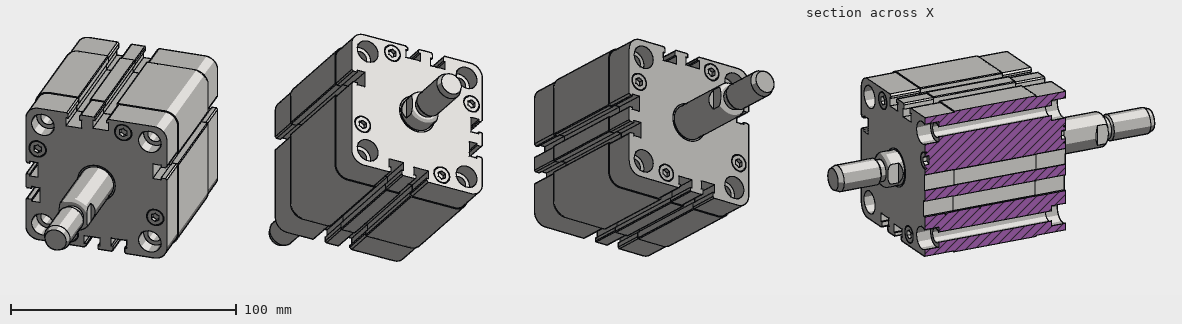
import cadquery as cq
import math

TUBE_SIZE = 67.0
CAP_SIZE = 66.0
CORNER_CENTRE = 27.0
TUBE_LENGTH = 41.0
CAP_LENGTH = 14.75
BODY_LENGTH = TUBE_LENGTH + 2 * CAP_LENGTH
TUBE_FRONT = -TUBE_LENGTH / 2
BODY_FRONT = -BODY_LENGTH / 2
BODY_BACK = BODY_LENGTH / 2

MOUTH_WIDTH = 5.2
CHANNEL_WIDTH = 7.1
DEEP_SLOT_OFFSET = -10.5
DEEP_SLOT_FLOOR = 26.5
DEEP_SLOT_SHOULDER = 30.3
SHALLOW_SLOT_OFFSET = 2.0
SHALLOW_SLOT_FLOOR = 27.4
SHALLOW_SLOT_SHOULDER = 31.2
CAP_SLOT_CLEARANCE = 0.1
TUBE_LIP_CHAMFER = 0.4
CAP_LIP_CHAMFER = 0.65
SHALLOW_CAP_LIP_CHAMFERS = (0.4, 0.9)
DEEP_SLOT_TURNS = (0, 90, 180, 270)
SHALLOW_SLOT_TURNS = (0, 90, 180)

MOUNT_SPACING = 50.0
MOUNT_HOLE_DIA = 6.65
COUNTERBORE_DIA = 10.5
COUNTERBORE_DEPTH = 7.0

SCREW_ACROSS = 12.5
SCREW_OUT = 27.5
SCREW_POCKET_DIA = 8.0
SCREW_HEAD_DIA = 7.5
SCREW_GAP_DEPTH = 1.0
SOCKET_ACROSS_FLATS = 3.5
SOCKET_DEPTH = 2.0

ROD_DIA = 16.0
ROD_BORE_DIA = 17.6
ROD_GAP_DEPTH = 0.2
FRONT_SHOULDER_REACH = 32.5
BACK_SHOULDER_REACH = 7.5
SHOULDER_RADIUS = 2.0
FLAT_WIDTH = 13.0
FLAT_LENGTH = 5.5
STUD_DIA = 12.0
STUD_LENGTH = 24.0
NECK_DIA = 10.0
NECK_LENGTH = 2.4
STUD_ROOT_CHAMFER = 0.8
TIP_DIA = 10.0
TIP_LENGTH = 2.5


def section_at(y):
    """Sketch plane across the body at y: local x along X, local y along Z; negative extrusion runs to +Y."""
    return cq.Workplane(cq.Plane(origin=(0, y, 0), xDir=(1, 0, 0), normal=(0, -1, 0)))


def square_block(size, y_start, length):
    block = section_at(y_start).rect(size, size).extrude(-length)
    return block.edges("|Y").fillet(size / 2 - CORNER_CENTRE)


def slot_cutter(offset, floor, shoulder, face, lip_chamfers, clearance, y_start, length):
    """Slot opening upward through face; lip_chamfers holds the left and right sizes."""
    mouth = MOUTH_WIDTH / 2 + clearance
    channel = CHANNEL_WIDTH / 2 + clearance
    left, right = lip_chamfers
    outline = [
        (-channel, floor - clearance),
        (channel, floor - clearance),
        (channel, shoulder),
        (mouth, shoulder),
        (mouth, face - right),
        (mouth + right, face),
        (-mouth - left, face),
        (-mouth, face - left),
        (-mouth, shoulder),
        (-channel, shoulder),
    ]
    return section_at(y_start).center(offset, 0).polyline(outline).close().extrude(-length)


def slotted_block(size, deep_chamfers, shallow_chamfers, clearance, y_start, length):
    block = square_block(size, y_start, length)
    face = size / 2
    deep = slot_cutter(DEEP_SLOT_OFFSET, DEEP_SLOT_FLOOR, DEEP_SLOT_SHOULDER, face,
                       deep_chamfers, clearance, y_start, length)
    shallow = slot_cutter(SHALLOW_SLOT_OFFSET, SHALLOW_SLOT_FLOOR, SHALLOW_SLOT_SHOULDER, face,
                          shallow_chamfers, clearance, y_start, length)
    for cutter, turns in ((deep, DEEP_SLOT_TURNS), (shallow, SHALLOW_SLOT_TURNS)):
        for turn in turns:
            block = block.cut(cutter.rotate((0, 0, 0), (0, -1, 0), turn))
    return block


def make_cap(y_start):
    deep_chamfers = (CAP_LIP_CHAMFER, CAP_LIP_CHAMFER)
    return slotted_block(CAP_SIZE, deep_chamfers, SHALLOW_CAP_LIP_CHAMFERS,
                         CAP_SLOT_CLEARANCE, y_start, CAP_LENGTH)


def make_body():
    tube_chamfers = (TUBE_LIP_CHAMFER, TUBE_LIP_CHAMFER)
    tube = slotted_block(TUBE_SIZE, tube_chamfers, tube_chamfers, 0, TUBE_FRONT, TUBE_LENGTH)
    return tube.union(make_cap(BODY_FRONT)).union(make_cap(TUBE_FRONT + TUBE_LENGTH))


def cut_mounting_holes(body):
    holes = section_at(BODY_FRONT).rect(MOUNT_SPACING, MOUNT_SPACING, forConstruction=True).vertices()
    body = body.cut(holes.circle(MOUNT_HOLE_DIA / 2).extrude(-BODY_LENGTH))
    for y_start in (BODY_FRONT, BODY_BACK - COUNTERBORE_DEPTH):
        corners = section_at(y_start).rect(MOUNT_SPACING, MOUNT_SPACING, forConstruction=True).vertices()
        body = body.cut(corners.circle(COUNTERBORE_DIA / 2).extrude(-COUNTERBORE_DEPTH))
    return body


def cut_screws(body):
    places = [
        (SCREW_ACROSS, SCREW_OUT),
        (-SCREW_OUT, SCREW_ACROSS),
        (-SCREW_ACROSS, -SCREW_OUT),
        (SCREW_OUT, -SCREW_ACROSS),
    ]
    socket_corner_dia = SOCKET_ACROSS_FLATS / math.cos(math.pi / 6)
    for gap_y, socket_y in ((BODY_FRONT, BODY_FRONT),
                            (BODY_BACK - SCREW_GAP_DEPTH, BODY_BACK - SOCKET_DEPTH)):
        for x, z in places:
            gap = section_at(gap_y).center(x, z).circle(SCREW_POCKET_DIA / 2)
            gap = gap.circle(SCREW_HEAD_DIA / 2).extrude(-SCREW_GAP_DEPTH)
            socket = section_at(socket_y).polygon(6, socket_corner_dia).extrude(-SOCKET_DEPTH)
            socket = socket.rotate((0, 0, 0), (0, 1, 0), 90).translate((x, 0, z))
            body = body.cut(gap).cut(socket)
    return body


def cut_rod_gap(body):
    for y_start in (BODY_FRONT, BODY_BACK - ROD_GAP_DEPTH):
        gap = section_at(y_start).circle(ROD_BORE_DIA / 2).circle(ROD_DIA / 2).extrude(-ROD_GAP_DEPTH)
        body = body.cut(gap)
    return body


def make_rod_end(reach):
    """Half of the rod, from the origin to its tip along +Y; reach is where the shoulder ends."""
    stud_root = reach + NECK_LENGTH
    tip = reach + STUD_LENGTH
    arc_inset = SHOULDER_RADIUS * (1 - math.sqrt(0.5))
    profile = (
        cq.Workplane("XY")
        .lineTo(ROD_DIA / 2, 0)
        .lineTo(ROD_DIA / 2, reach - SHOULDER_RADIUS)
        .threePointArc(
            (ROD_DIA / 2 - arc_inset, reach - arc_inset),
            (ROD_DIA / 2 - SHOULDER_RADIUS, reach),
        )
        .lineTo(NECK_DIA / 2, reach)
        .lineTo(NECK_DIA / 2, stud_root)
        .lineTo(STUD_DIA / 2, stud_root + STUD_ROOT_CHAMFER)
        .lineTo(STUD_DIA / 2, tip - TIP_LENGTH)
        .lineTo(TIP_DIA / 2, tip)
        .lineTo(0, tip)
        .close()
    )
    rod = profile.revolve(360, (0, 0, 0), (0, 1, 0))
    half_flat = FLAT_WIDTH / 2
    runout = ROD_DIA / 2 - half_flat
    flat_start = reach - FLAT_LENGTH
    wedge = [
        (half_flat, reach),
        (half_flat, flat_start),
        (half_flat + runout, flat_start - runout),
        (half_flat + runout, reach),
    ]
    flat = cq.Workplane("XY").polyline(wedge).close().extrude(ROD_DIA / 2, both=True)
    return rod.cut(flat).cut(flat.mirror("YZ"))


def make_rod():
    back = make_rod_end(BODY_BACK + BACK_SHOULDER_REACH)
    front = make_rod_end(BODY_BACK + FRONT_SHOULDER_REACH).mirror("XZ")
    return back.union(front)


body = cut_rod_gap(cut_screws(cut_mounting_holes(make_body())))
result = body.union(make_rod())